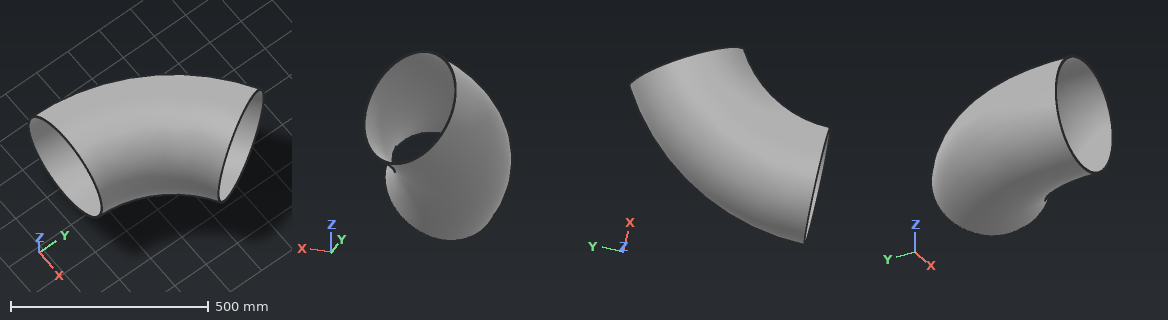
import cadquery as cq
import math

bend_angle = 60.0
overall_length = 522.0
outer_diameter = 306.0
wall = 3.0

outer_radius = outer_diameter / 2
inner_radius = outer_radius - wall
outer_bend_radius = overall_length / math.sin(math.radians(bend_angle))
bend_radius = outer_bend_radius - outer_radius

pipe_section = cq.Workplane("XZ").circle(outer_radius).circle(inner_radius)

axis_start = (bend_radius, 0)
axis_end = (bend_radius, -1)
result = pipe_section.revolve(bend_angle, axis_start, axis_end)